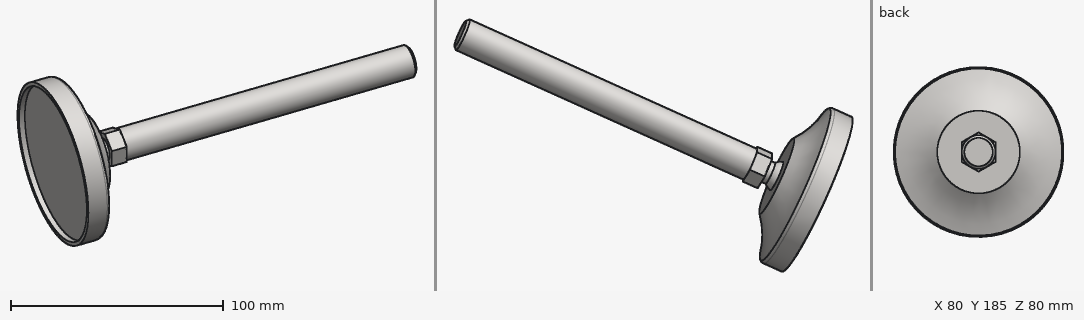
import cadquery as cq
import math

total_length = 185.0

plate_radius = 80.0 / 2
rim_height = 9.6
shoulder_radius = 39.2
shoulder_height = 11.1
plate_top_radius = 19.5
plate_height = 20.7
flank_sag = 1.3

recess_radius = 76.0 / 2
recess_depth = 3.0

neck_radius = 11.0 / 2
ball_radius = 7.5
neck_start = 24.0

hex_start = 26.8
hex_end = 34.6
spindle_radius = 16.0 / 2
hex_across_flats = 2 * spindle_radius
tip_chamfer = 1.3


def cylinder(radius, start, end):
    """Round bar along Y between two heights above the base face."""
    bar = cq.Solid.makeCylinder(radius, end - start, cq.Vector(0, start, 0), cq.Vector(0, 1, 0))
    return cq.Workplane(obj=bar)


def make_plate():
    """Turned plate with a rounded shoulder, a hollow flank and a recessed base."""
    run = plate_top_radius - shoulder_radius
    rise = plate_height - shoulder_height
    chord = math.hypot(run, rise)
    flank_middle = (
        (shoulder_radius + plate_top_radius) / 2 - flank_sag * rise / chord,
        (shoulder_height + plate_height) / 2 + flank_sag * run / chord,
    )
    profile = (
        cq.Workplane("XY")
        .lineTo(plate_radius, 0)
        .lineTo(plate_radius, rim_height)
        .tangentArcPoint((shoulder_radius, shoulder_height), relative=False)
        .threePointArc(flank_middle, (plate_top_radius, plate_height))
        .lineTo(0, plate_height)
        .close()
    )
    plate = profile.revolve(360, (0, 0, 0), (0, 1, 0))
    return plate.cut(cylinder(recess_radius, 0, recess_depth))


def make_ball_and_neck():
    """Ball seated in the plate; the neck leaves it where the ball narrows to the neck radius."""
    ball_centre = neck_start - math.sqrt(ball_radius**2 - neck_radius**2)
    ball = cq.Workplane("XY").sphere(ball_radius).translate((0, ball_centre, 0))
    neck = cylinder(neck_radius, ball_centre, hex_start)
    return ball.union(neck)


def make_hexagon():
    """Wrench hexagon with two flats facing +X and -X, so two corners lie on Z."""
    across_corners = hex_across_flats / math.cos(math.pi / 6)
    return (
        cq.Workplane("XZ", origin=(0, hex_start, 0))
        .transformed(rotate=(0, 0, 90))
        .polygon(6, across_corners)
        .extrude(hex_start - hex_end)
    )


def make_spindle():
    """Plain round spindle with a chamfered free end."""
    return cylinder(spindle_radius, hex_end, total_length).faces(">Y").edges().chamfer(tip_chamfer)


result = make_plate().union(make_ball_and_neck()).union(make_hexagon()).union(make_spindle())